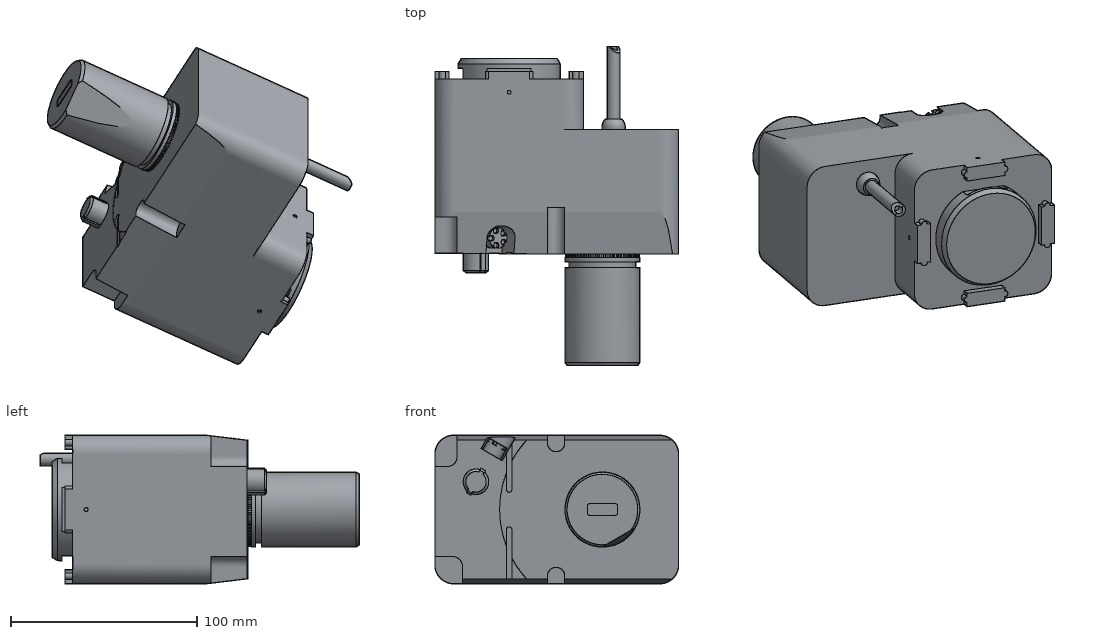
import cadquery as cq
import math


length = 131.0
height = 80.0
half_height = height / 2
corner_radius = 10.3
step_y = 67.0
tower_y = 94.2
tower_x = half_height

taper_start_y = 22.6
taper_drop = 2.7
recess_depth = 0.5
recess_radius = 55.2
pocket_depth = 19.9
pocket_fillet = 5.5
upper_pocket = (12.0, 17.0)
lower_pocket = (15.0, 14.7)
notch_x = 65.2
notch_width = 9.3
notch_bottom = 31.0
notch_depth = 25.0
groove_x = 40.0
groove_width = 3.0
groove_inner_end = 9.3
groove_depth = 0.9

shaft_x = 90.0
shaft_diameter = 40.3
shaft_end_y = -59.9
shaft_chamfer = 1.2
shaft_chamfer_length = 1.7
collar_length = 4.1
neck_diameter = 36.0
neck_end_y = -7.2
knurl_diameter = 39.6
knurl_length = 1.9
knurl_notches = 60
knurl_notch_width = 1.0
knurl_notch_depth = 0.9
flat_direction = -60.0
flat_distance = 17.3
flat_start_y = -24.0
key_mark_length = 16.0
key_mark_height = 6.5
key_mark_corner = 0.9
key_mark_depth = 0.3

button_x = 22.1
button_z = 15.0
button_diameter = 13.7
button_end_diameter = 11.0
button_length = 10.0
button_chamfer_length = 1.2
rib_angle = 59.0
rib_width = 2.7
rib_span = 15.3

screw_x = 30.5
screw_y = 8.7
screw_z = 29.5
screw_tilt = 60.0
screw_diameter = 11.0
screw_length = 7.0
screw_pocket_radius = 6.5
screw_pocket_length = 25.7
screw_notches = 5
screw_notch_diameter = 3.1
screw_notch_radius = 4.1
screw_notch_start = -106.0
screw_notch_depth = 1.7

cover_diameter = 55.0
cover_bevel_y = 102.2
cover_end_y = 105.1
cover_bevel = 1.7
relief_distance = 24.9
relief_end_y = 99.8
tab_end_y = 98.3
tab_width = 22.0
tab_thickness = 7.7
tab_rib_diameter = 3.5
tab_rib_depth = 4.1
tab_hole_diameter = 2.0
tab_hole_y = 87.0
tab_hole_depth = 1.7

cable_x = 96.0
cable_z = 26.8
cable_diameter = 7.0
cable_bore = 4.0
cable_bore_depth = 5.1
cable_cut_direction = 45.0
cable_end_y = 111.6
boot_radius = 6.3
boot_centre_offset = 1.0
boot_length = 5.5


def block(x0, x1, y0, y1, z0, z1):
    """Box between two opposite corners."""
    return cq.Workplane("XY").box(x1 - x0, y1 - y0, z1 - z0, centered=False).translate((x0, y0, z0))


def rod(x, z, diameter, y0, y1):
    """Cylinder along Y between two stations."""
    return cq.Workplane("XZ", origin=(x, y0, z)).circle(diameter / 2).extrude(y0 - y1)


def turned(x, z, profile):
    """Solid of revolution about a Y axis from (radius, y) points."""
    return cq.Workplane("XY").polyline(profile).close().revolve(360, (0, 0), (0, 1)).translate((x, 0, z))


def rounded_prism(width, y_end):
    """Rounded rectangle from the front face back to y_end."""
    return block(0, width, 0, y_end, -half_height, half_height).edges("|Y").fillet(corner_radius)


def make_housing():
    body = rounded_prism(length, step_y).union(rounded_prism(height, tower_y))
    profile = [
        (0, half_height - taper_drop),
        (taper_start_y, half_height),
        (tower_y, half_height),
        (tower_y, -half_height),
        (taper_start_y, -half_height),
        (0, -half_height + taper_drop),
    ]
    envelope = cq.Workplane("YZ").polyline(profile).close().extrude(length)
    return body.intersect(envelope)


def corner_pocket(size, side):
    """Corner relief on the left edge; side is +1 for the top and -1 for the bottom."""
    width, depth = size
    pocket = block(-width, width, 0, pocket_depth, -depth, depth).edges("|Y").fillet(pocket_fillet)
    return pocket.translate((0, 0, side * half_height))


def edge_notch(side):
    """Round-bottomed notch in the top or bottom edge."""
    arc_z = notch_bottom + notch_width / 2
    slot = block(-notch_width / 2, notch_width / 2, 0, notch_depth, arc_z, half_height)
    slot = slot.union(rod(0, arc_z, notch_width, 0, notch_depth)).translate((notch_x, 0, 0))
    return slot if side > 0 else slot.mirror("XY")


def face_groove(side):
    """Narrow groove running from its round inner end to the top or bottom edge."""
    arc_z = groove_inner_end + groove_width / 2
    slot = block(-groove_width / 2, groove_width / 2, 0, groove_depth, arc_z, half_height)
    slot = slot.union(rod(0, arc_z, groove_width, 0, groove_depth)).translate((groove_x, 0, 0))
    return slot if side > 0 else slot.mirror("XY")


def face_recess():
    """Shallow recess of the face outside a circle around the shaft."""
    panel = block(0, shaft_x, 0, recess_depth, -half_height, half_height)
    return panel.cut(rod(shaft_x, 0, 2 * recess_radius, 0, recess_depth))


def along_screw(shape):
    """Move a shape built along +Z onto the sloping screw axis."""
    tilted = shape.rotate((0, 0, 0), (0, 1, 0), 90 - screw_tilt)
    return tilted.translate((screw_x, screw_y, screw_z))


def screw_pocket():
    bore = cq.Workplane("XY").circle(screw_pocket_radius).extrude(screw_pocket_length)
    opening = block(
        -screw_pocket_radius, screw_pocket_radius, -screw_y, 0, 0, screw_pocket_length
    )
    return along_screw(bore.union(opening))


def make_screw():
    head = cq.Workplane("XY").circle(screw_diameter / 2).extrude(screw_length)
    notches = (
        cq.Workplane("XY", origin=(0, 0, screw_length - screw_notch_depth))
        .polarArray(screw_notch_radius, screw_notch_start, 360, screw_notches)
        .circle(screw_notch_diameter / 2)
        .extrude(screw_notch_depth)
    )
    return along_screw(head.cut(notches))


def make_shaft():
    radius = shaft_diameter / 2
    neck = neck_diameter / 2
    knurl = knurl_diameter / 2
    shaft = turned(0, 0, [
        (0, 0),
        (knurl, 0),
        (knurl, -knurl_length),
        (radius, -knurl_length),
        (radius, -collar_length),
        (neck, -collar_length),
        (neck, neck_end_y),
        (radius, neck_end_y),
        (radius, shaft_end_y + shaft_chamfer_length),
        (radius - shaft_chamfer, shaft_end_y),
        (0, shaft_end_y),
    ])
    flat = (
        cq.Workplane("XY")
        .polyline([(radius, flat_start_y), (flat_distance, shaft_end_y), (radius, shaft_end_y)])
        .close()
        .extrude(radius, both=True)
        .rotate((0, 0, 0), (0, 1, 0), -flat_direction)
    )
    mark = block(
        -key_mark_length / 2, key_mark_length / 2,
        shaft_end_y, shaft_end_y + key_mark_depth,
        -key_mark_height / 2, key_mark_height / 2,
    ).edges("|Y").chamfer(key_mark_corner)
    notches = (
        cq.Workplane("XZ")
        .polarArray(knurl, 0, 360, knurl_notches)
        .rect(2 * knurl_notch_depth, knurl_notch_width)
        .extrude(knurl_length)
    )
    return shaft.cut(flat).cut(mark).cut(notches).translate((shaft_x, 0, 0))


def make_button():
    radius = button_diameter / 2
    rib = block(-rib_span / 2, rib_span / 2, -button_length, recess_depth, -rib_width / 2, rib_width / 2)
    rib = rib.faces("<Y").edges("|Z").chamfer(button_chamfer_length)
    rib = rib.rotate((0, 0, 0), (0, 1, 0), -rib_angle)
    pin = turned(0, 0, [
        (0, recess_depth),
        (radius, recess_depth),
        (radius, button_chamfer_length - button_length),
        (button_end_diameter / 2, -button_length),
        (0, -button_length),
    ])
    return pin.union(rib).translate((button_x, 0, button_z))


def make_cover():
    """Round bevelled cover with flat reliefs facing the -X, +Z and -Z tabs."""
    radius = cover_diameter / 2
    cover = turned(0, 0, [
        (0, tower_y),
        (radius, tower_y),
        (radius, cover_bevel_y),
        (radius - cover_bevel, cover_end_y),
        (0, cover_end_y),
    ])
    relief = block(-radius, radius, tower_y, relief_end_y, relief_distance, radius)
    for turn in (0, -90, 180):
        cover = cover.cut(relief.rotate((0, 0, 0), (0, 1, 0), turn))
    return cover.translate((tower_x, 0, 0))


def side_tab():
    """Tab flush with the top side of the tower, with a half-round rib on each end."""
    half_width = tab_width / 2
    inner_z = half_height - tab_thickness
    rib_z = half_height - tab_rib_depth
    tab = block(-half_width, half_width, tower_y, tab_end_y, inner_z, half_height)
    for rib_x in (-half_width, half_width):
        tab = tab.union(rod(rib_x, rib_z, tab_rib_diameter, tower_y, tab_end_y))
    return tab


def four_sides(shape):
    """Copies of a shape turned onto the four sides of the square tower."""
    copies = cq.Workplane("XY")
    for turn in range(4):
        copies = copies.union(shape.rotate((0, 0, 0), (0, 1, 0), 90 * turn))
    return copies.translate((tower_x, 0, 0))


def tab_hole():
    hole = cq.Workplane("XY", origin=(0, tab_hole_y, half_height - tab_hole_depth))
    return hole.circle(tab_hole_diameter / 2).extrude(tab_hole_depth)


def make_cable():
    cable = rod(0, 0, cable_diameter, step_y, cable_end_y)
    cable = cable.cut(rod(0, 0, cable_bore, cable_end_y - cable_bore_depth, cable_end_y))
    wedge = (
        cq.Workplane("XY")
        .moveTo(0, cable_end_y)
        .line(cable_diameter, -cable_diameter)
        .vLine(cable_diameter)
        .close()
        .extrude(cable_diameter, both=True)
        .rotate((0, 0, 0), (0, 1, 0), -cable_cut_direction)
    )
    boot = cq.Workplane("XY").sphere(boot_radius).translate((0, step_y + boot_centre_offset, 0))
    boot = boot.intersect(rod(0, 0, 2 * boot_radius, step_y, step_y + boot_length))
    return cable.cut(wedge).union(boot).translate((cable_x, 0, cable_z))


result = make_housing()
result = result.cut(face_recess())
result = result.cut(corner_pocket(upper_pocket, 1)).cut(corner_pocket(lower_pocket, -1))
for edge_side in (1, -1):
    result = result.cut(edge_notch(edge_side)).cut(face_groove(edge_side))
result = result.cut(screw_pocket()).union(make_screw())
result = result.union(make_shaft()).union(make_button())
result = result.union(four_sides(side_tab())).union(make_cover())
result = result.cut(four_sides(tab_hole()))
result = result.union(make_cable())